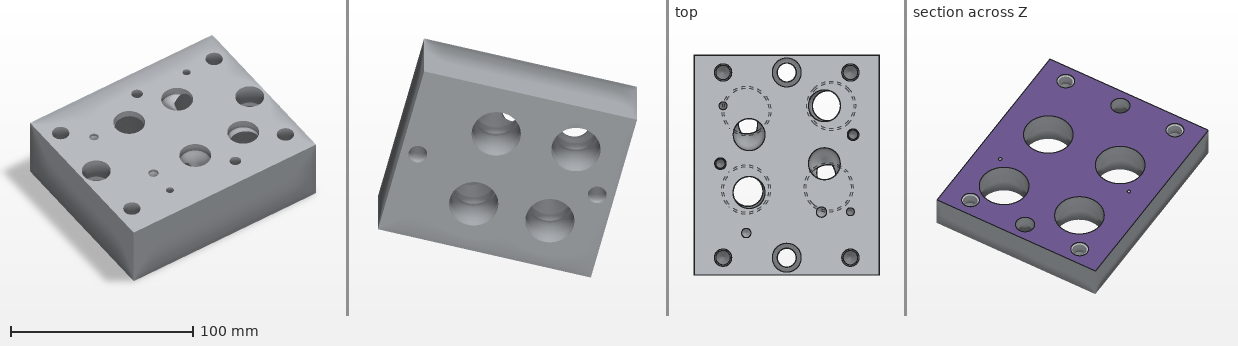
import cadquery as cq
import math

LENGTH_X = 101.6
WIDTH_Y = 120.65
HEIGHT = 38.1
DRILL_POINT_ANGLE = 118.0

BOLT_Y = 50.8
BOLT_DIAMETER = 10.31
COUNTERBORE_DIAMETER = 15.88
COUNTERBORE_DEPTH = 12.7

CORNER_X = 34.925
CORNER_TAP_DIAMETER = 7.92
CORNER_THREAD_DIAMETER = 9.53
CORNER_THREAD_DEPTH = 20.0
CORNER_TAP_DEPTH = 26.0

SMALL_BOLT_CENTERS = [(36.4, 16.67), (-36.4, 0.79)]
SMALL_TAP_DIAMETER = 5.11
SMALL_THREAD_DIAMETER = 6.35
SMALL_THREAD_DEPTH = 13.0
SMALL_TAP_DEPTH = 18.0

PILOT_CENTERS = [(-CORNER_X, 32.54), (CORNER_X, -25.6)]
PILOT_DIAMETER = 4.37
PILOT_DEPTH = 5.0

PIN_DEPTH = 1.7
LARGE_PIN_CENTER = (19.05, -25.8)
LARGE_PIN_DIAMETER = 5.65
SMALL_PIN_CENTER = (-22.2, -37.3)
SMALL_PIN_DIAMETER = 5.11

OPENING_DIAMETER = 17.48
OPENING_DEPTH = 5.05
OPENING_X = 20.64
PORT_DRILL_DIAMETER = 24.92
PORT_THREAD_DIAMETER = 27.0
PORT_DRILL_TOP_Z = -7.7
PORT_THREAD_TOP_Z = -14.9
FLOW_PATHS = [
    ((OPENING_X, 32.54), (24.4, 32.5)),
    ((OPENING_X, 0.79), (23.0, -12.3)),
    ((-OPENING_X, 16.67), (-22.1, 29.7)),
    ((-OPENING_X, -15.08), (-22.3, -13.4)),
]


def cylinder(center, diameter, z_start, length):
    """Vertical cylinder from z_start; a negative length extends downward."""
    return cq.Workplane("XY", origin=(*center, z_start)).circle(diameter / 2).extrude(length)


def drilled_hole(center, diameter, z_start, length):
    """Cylinder with a conical drill point at its far end; a negative length drills downward."""
    radius = diameter / 2
    point = math.copysign(radius / math.tan(math.radians(DRILL_POINT_ANGLE / 2)), length)
    profile = [(0, 0), (radius, 0), (radius, length), (0, length + point)]
    tool = cq.Workplane("XZ").polyline(profile).close().revolve(360, (0, 0), (0, 1))
    return tool.translate((*center, z_start))


def tapped_hole(center, tap_diameter, tap_depth, thread_diameter, thread_depth):
    """Drilled hole widened to the thread diameter over its upper part."""
    drill = drilled_hole(center, tap_diameter, 0, -tap_depth)
    return drill.union(cylinder(center, thread_diameter, 0, -thread_depth))


def mounting_hole(center):
    """Through hole with a counterbore in the top face."""
    through = cylinder(center, BOLT_DIAMETER, 0, -HEIGHT)
    return through.union(cylinder(center, COUNTERBORE_DIAMETER, 0, -COUNTERBORE_DEPTH))


def threaded_port(center):
    """Drilled port from the bottom face, widened to the thread diameter at its mouth."""
    drill = drilled_hole(center, PORT_DRILL_DIAMETER, -HEIGHT, HEIGHT + PORT_DRILL_TOP_Z)
    thread = cylinder(center, PORT_THREAD_DIAMETER, -HEIGHT, HEIGHT + PORT_THREAD_TOP_Z)
    return drill.union(thread)


result = cq.Workplane("XY").box(LENGTH_X, WIDTH_Y, HEIGHT).translate((0, 0, -HEIGHT / 2))

for side_y in (-1, 1):
    result = result.cut(mounting_hole((0, side_y * BOLT_Y)))
    for side_x in (-1, 1):
        corner = (side_x * CORNER_X, side_y * BOLT_Y)
        result = result.cut(
            tapped_hole(
                corner,
                CORNER_TAP_DIAMETER,
                CORNER_TAP_DEPTH,
                CORNER_THREAD_DIAMETER,
                CORNER_THREAD_DEPTH,
            )
        )

for center in SMALL_BOLT_CENTERS:
    result = result.cut(
        tapped_hole(
            center,
            SMALL_TAP_DIAMETER,
            SMALL_TAP_DEPTH,
            SMALL_THREAD_DIAMETER,
            SMALL_THREAD_DEPTH,
        )
    )

for center in PILOT_CENTERS:
    result = result.cut(drilled_hole(center, PILOT_DIAMETER, 0, -PILOT_DEPTH))

result = result.cut(drilled_hole(LARGE_PIN_CENTER, LARGE_PIN_DIAMETER, 0, -PIN_DEPTH))
result = result.cut(drilled_hole(SMALL_PIN_CENTER, SMALL_PIN_DIAMETER, 0, -PIN_DEPTH))

for opening_center, port_center in FLOW_PATHS:
    result = result.cut(drilled_hole(opening_center, OPENING_DIAMETER, 0, -OPENING_DEPTH))
    result = result.cut(threaded_port(port_center))